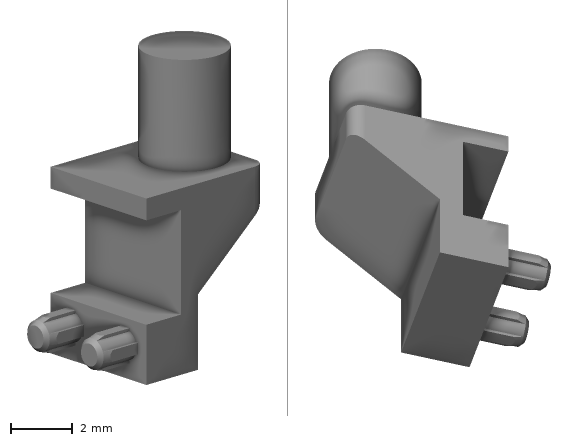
import cadquery as cq

width = 4.52
total_height = 10.16
body_depth = 5.32
body_height = 6.35
flange_thickness = 0.74
recess_depth = 1.53
foot_depth = 2.31
foot_height = 2.05
slope_bottom = 2.58
slope_top = 5.09
corner_radius = 0.5

post_diameter = 3.0

pin_pitch = 2.54
pin_height = 1.15
pin_length = 1.61
pin_radius = 0.53
tip_chamfer = 0.14
rib_radius = 0.6
rib_width = 0.4
rib_straight_length = 1.23
rib_count = 4


def make_body():
    flange_bottom = body_height - flange_thickness
    profile = [
        (0, 0),
        (foot_depth, 0),
        (foot_depth, slope_bottom),
        (body_depth, slope_top),
        (body_depth, body_height),
        (0, body_height),
        (0, flange_bottom),
        (recess_depth, flange_bottom),
        (recess_depth, foot_height),
        (0, foot_height),
    ]
    side = cq.Workplane("YZ").polyline(profile).close().extrude(width / 2, both=True)
    footprint = (
        cq.Workplane("XY")
        .rect(width, body_depth)
        .extrude(body_height)
        .translate((0, body_depth / 2, 0))
        .edges("|Z and >Y")
        .fillet(corner_radius)
    )
    return side.intersect(footprint)


def make_post():
    return (
        cq.Workplane("XY", origin=(0, body_depth - post_diameter / 2, body_height))
        .circle(post_diameter / 2)
        .extrude(total_height - body_height)
    )


def make_pin():
    """Pin along +Z from the origin, with ribs that taper into the core."""
    shoulder = pin_length - tip_chamfer
    core = cq.Workplane("XY").circle(pin_radius).extrude(pin_length).faces(">Z").chamfer(tip_chamfer)

    taper_slope = (rib_radius - pin_radius) / (shoulder - rib_straight_length)
    envelope_base_radius = pin_radius + taper_slope * shoulder
    envelope = (
        cq.Workplane("XZ")
        .polyline([(0, 0), (envelope_base_radius, 0), (pin_radius, shoulder), (0, shoulder)])
        .close()
        .revolve(360, (0, 0, 0), (0, 1, 0))
    )
    for index in range(rib_count):
        rib = (
            cq.Workplane("XY")
            .center(rib_radius / 2, 0)
            .rect(rib_radius, rib_width)
            .extrude(shoulder)
            .rotate((0, 0, 0), (0, 0, 1), index * 360 / rib_count)
        )
        core = core.union(rib.intersect(envelope))
    return core


result = make_body().union(make_post())
forward_pin = make_pin().rotate((0, 0, 0), (1, 0, 0), 90)
for side_sign in (-1, 1):
    result = result.union(forward_pin.translate((side_sign * pin_pitch / 2, 0, pin_height)))